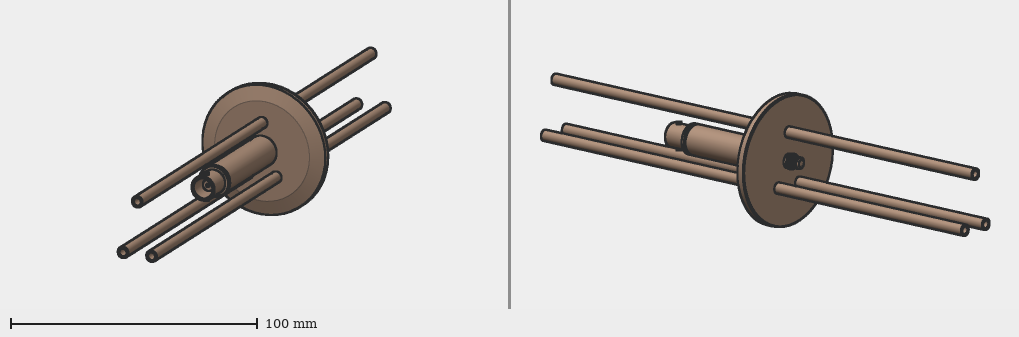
import cadquery as cq
import math


flange_dia = 54.86
flange_thickness = 5.08
flange_rear_y = 12.7
flange_front_y = flange_rear_y - flange_thickness
face_dia = 42.3
taper_angle = 15
rear_edge_chamfer = 0.4

tube_od = 4.76
tube_bore = 3.25
tube_length = 228.6
tube_places = [(0, 12.05), (-6.35, -10.2), (6.35, -10.2)]

sleeve_dia = 13.0
sleeve_end_y = -37.7

shell_neck_dia = 12.8
shell_collar_y = -38.4
shell_shoulder_y = -39.7
shell_dia = 10.3
shell_end_y = -50.0
shell_bore = 8.4
stud_dia = 2.1
stud_y = -46.9
stud_span = 11.8

insulator_dia = 4.8
insulator_end_y = -45.0
contact_dia = 1.3
contact_projection = 0.5
contact_end_y = insulator_end_y - contact_projection

rear_collar_dia = 6.5
rear_collar_y = 15.0
rear_collar_thickness = 0.7
rear_neck_dia = 6.1
rear_end_y = 19.7
thread_dia = 4.83
thread_pitch = 0.6
thread_depth = 0.25
thread_tip_chamfer = 0.8


def rod(diameter, y_start, y_end, x=0, z=0):
    """Solid cylinder along Y between two stations."""
    length = y_end - y_start
    return cq.Workplane(cq.Solid.makeCylinder(
        diameter / 2, length, cq.Vector(x, y_start, z), cq.Vector(0, 1, 0)))


def revolve_profile(points):
    """Solid of revolution about Y from (radius, y) points."""
    profile = cq.Workplane("XY").polyline(points).close()
    return profile.revolve(360, (0, 0, 0), (0, 1, 0))


def make_flange():
    rim = flange_dia / 2
    face = face_dia / 2
    taper_rise = (rim - face) * math.tan(math.radians(taper_angle))
    disc = revolve_profile([
        (0, flange_front_y),
        (face, flange_front_y),
        (rim, flange_front_y + taper_rise),
        (rim, flange_rear_y - rear_edge_chamfer),
        (rim - rear_edge_chamfer, flange_rear_y),
        (0, flange_rear_y),
    ])
    for x, z in tube_places:
        disc = disc.cut(rod(tube_od, flange_front_y, flange_rear_y, x, z))
    return disc


def make_tube(x, z):
    half = tube_length / 2
    return rod(tube_od, -half, half, x, z).cut(rod(tube_bore, -half, half, x, z))


def make_sleeve():
    return rod(sleeve_dia, sleeve_end_y, flange_front_y)


def make_shell():
    neck = rod(shell_neck_dia, shell_collar_y, sleeve_end_y)
    collar = rod(sleeve_dia, shell_shoulder_y, shell_collar_y)
    barrel = rod(shell_dia, shell_end_y, shell_shoulder_y)
    studs = (
        cq.Workplane("XY", origin=(0, stud_y, 0))
        .circle(stud_dia / 2)
        .extrude(stud_span / 2, both=True)
    )
    bore = rod(shell_bore, shell_end_y, sleeve_end_y)
    return neck.union(collar).union(barrel).union(studs).cut(bore)


def make_insulator():
    return rod(insulator_dia, insulator_end_y, sleeve_end_y).cut(
        rod(contact_dia, insulator_end_y, sleeve_end_y))


def make_contact():
    return rod(contact_dia, contact_end_y, sleeve_end_y)


def make_rear_connector():
    neck = rod(rear_neck_dia, flange_rear_y, rear_collar_y)
    collar = rod(rear_collar_dia, rear_collar_y - rear_collar_thickness, rear_collar_y)
    stem = rod(thread_dia, flange_rear_y, rear_end_y).faces(">Y").chamfer(thread_tip_chamfer)
    connector = neck.union(collar).union(stem)
    root = thread_dia / 2 - thread_depth
    clear = thread_dia / 2 + thread_depth
    groove_count = int((rear_end_y - thread_tip_chamfer - rear_collar_y) / thread_pitch)
    for i in range(groove_count):
        y = rear_collar_y + (i + 0.5) * thread_pitch
        groove = revolve_profile([
            (root, y),
            (clear, y - thread_pitch / 2),
            (clear, y + thread_pitch / 2),
        ])
        connector = connector.cut(groove)
    return connector


flange = make_flange()
tubes = [make_tube(x, z) for x, z in tube_places]
sleeve = make_sleeve()
shell = make_shell()
insulator = make_insulator()
contact = make_contact()
rear_connector = make_rear_connector()

result = cq.Compound.makeCompound([
    flange.val(),
    *[tube.val() for tube in tubes],
    sleeve.val(),
    shell.val(),
    insulator.val(),
    contact.val(),
    rear_connector.val(),
])